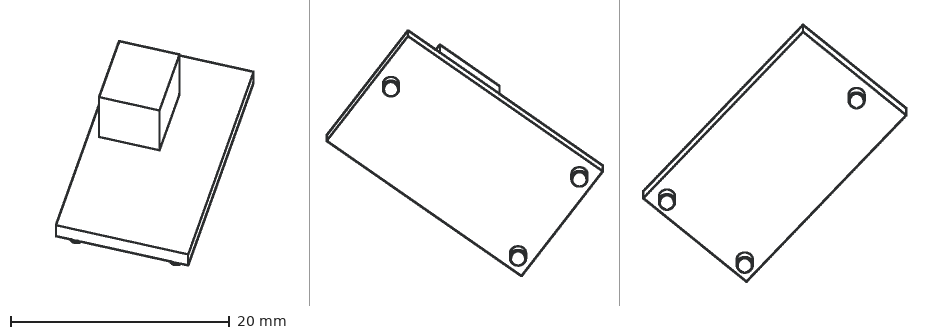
import cadquery as cq

board_width = 12.57
board_length = 22.1
board_thickness = 1.64

block_width = 5.75
block_length = 6.78
block_height = 5.88
block_side_gap = 1.02
block_end_gap = 4.35

foot_radius = 0.75
foot_length = 1.04
tip_radius = 0.66
foot_drop = 1.95
foot_pitch = 3.15
foot_span = 19.05

left_foot_x = -1.5 * foot_pitch
middle_foot_x = left_foot_x + foot_pitch
right_foot_x = left_foot_x + 3 * foot_pitch
foot_y = foot_span / 2
foot_places = [
    (left_foot_x, -foot_y),
    (right_foot_x, -foot_y),
    (middle_foot_x, foot_y),
]


def make_foot(x, y):
    """One downward foot: cylinder with a ball partly sunk into its lower end."""
    tip_centre_z = tip_radius - foot_drop
    shank = cq.Workplane("XY").center(x, y).circle(foot_radius).extrude(-foot_length)
    ball = cq.Workplane("XY").sphere(tip_radius).translate((x, y, tip_centre_z))
    return shank.union(ball)


def make_board():
    """The plate with its feet, as one solid."""
    board = cq.Workplane("XY").box(
        board_width, board_length, board_thickness, centered=(True, True, False)
    )
    for x, y in foot_places:
        board = board.union(make_foot(x, y))
    return board


def make_block():
    """The plain block resting on the top face of the board."""
    block_min_x = -board_width / 2 + block_side_gap
    block_min_y = board_length / 2 - block_end_gap - block_length
    block = cq.Workplane("XY").box(block_width, block_length, block_height, centered=False)
    return block.translate((block_min_x, block_min_y, board_thickness))


board = make_board()
block = make_block()
result = cq.Compound.makeCompound([board.val(), block.val()])